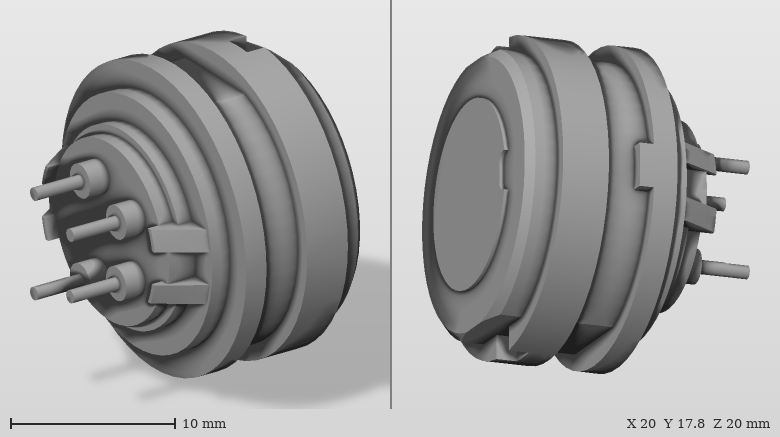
import math
import cadquery as cq


flange_front = 0.0
flange_back = 1.5
key_back = 2.45
nut_front = 4.5
nut_back = 7.5
body_back = 9.42
lip_back = 9.7
shoulder_front = -1.3
step_front = -2.3
insert_front = -3.3
clip_front = -4.1
sleeve_front = -4.7
pin_front = -8.1

flange_radius = 10.0
nut_radius = 10.0
body_radius = 9.0
shoulder_radius = 8.25
step_radius = 6.5
insert_radius = 5.93
sleeve_radius = 1.1
pin_radius = 0.42

body_chamfer = 0.5
flat_height = 8.42

key_width = 2.75

nut_slot_width = 2.0
nut_slot_depth = 1.3

lip_notch_width = 2.5
lip_notch_depth = 0.93
lip_notch_corner_radius = 0.71

clip_root_radius = 8.0
clip_tip_radius = 6.2
clip_inner_z = 1.1
clip_outer_z = 2.47

pin_circle_radius = 3.5
pin_positions = 5
empty_position = 2
pin_pitch = 360 / pin_positions
first_pin_angle = pin_pitch / 2


def disc(radius, y_start, y_end, x=0, z=0):
    """Cylinder along Y from y_start to y_end, centred at (x, z)."""
    base = cq.Workplane("XZ", origin=(x, y_start, z))
    return base.circle(radius).extrude(y_start - y_end)


def block(x_start, x_end, y_start, y_end, z_start, z_end):
    """Box between the given limits."""
    size = (x_end - x_start, y_end - y_start, z_end - z_start)
    return cq.Workplane("XY").box(*size, centered=False).translate((x_start, y_start, z_start))


def make_body():
    """Chamfered threaded barrel with a flat on the top and bottom."""
    barrel = disc(body_radius, flange_front, body_back).faces(">Y").chamfer(body_chamfer)
    between_flats = block(
        -body_radius, body_radius, flange_front, body_back, -flat_height, flat_height
    )
    return barrel.intersect(between_flats)


def make_nut():
    """Nut fitted to the barrel, slotted at the top and bottom of its back face."""
    slot = block(
        -nut_slot_width / 2, nut_slot_width / 2,
        nut_back - nut_slot_depth, nut_back,
        flat_height, nut_radius,
    )
    return disc(nut_radius, nut_front, nut_back).cut(slot).cut(slot.mirror("XY"))


def make_flange():
    """Flange with the anti-rotation key standing behind it."""
    key = block(
        -flange_radius, 0, flange_front, key_back, -key_width / 2, key_width / 2
    ).intersect(disc(flange_radius, flange_front, key_back))
    return disc(flange_radius, flange_front, flange_back).union(key)


def make_front_steps():
    """Stepped front; the wide step runs full height between the clips."""
    bridge = disc(step_radius, flange_front, insert_front).intersect(
        block(-step_radius, step_radius, insert_front, flange_front, -clip_inner_z, clip_inner_z)
    )
    return (
        disc(shoulder_radius, flange_front, shoulder_front)
        .union(disc(step_radius, flange_front, step_front))
        .union(disc(insert_radius, flange_front, insert_front))
        .union(bridge)
    )


def make_lip():
    """Low rear lip with the notch cut into its -X edge."""
    notch = block(
        -insert_radius, lip_notch_depth - insert_radius,
        body_back, lip_back,
        -lip_notch_width / 2, lip_notch_width / 2,
    )
    notch = notch.faces(">X").edges("|Y").fillet(lip_notch_corner_radius)
    return disc(insert_radius, body_back, lip_back).cut(notch)


def make_clips():
    """Four tapered clips cut from one conical ring."""
    ring = (
        cq.Workplane("XY")
        .moveTo(insert_radius, shoulder_front)
        .lineTo(clip_root_radius, shoulder_front)
        .lineTo(clip_tip_radius, clip_front)
        .lineTo(insert_radius, clip_front)
        .close()
        .revolve(360, (0, 0), (0, 1))
    )
    reach = clip_root_radius
    upper = block(-reach, reach, clip_front, shoulder_front, clip_inner_z, clip_outer_z)
    lower = upper.mirror("XY")
    return ring.intersect(upper.union(lower))


def make_pins():
    """Contact pins, each in an insulating sleeve."""
    pins = cq.Workplane("XY")
    for position in range(pin_positions):
        if position == empty_position:
            continue
        angle = math.radians(first_pin_angle + position * pin_pitch)
        x = pin_circle_radius * math.cos(angle)
        z = pin_circle_radius * math.sin(angle)
        pins = pins.add(disc(sleeve_radius, insert_front, sleeve_front, x, z))
        pins = pins.add(disc(pin_radius, insert_front, pin_front, x, z))
    return pins.combine()


result = (
    make_body()
    .union(make_nut())
    .union(make_flange())
    .union(make_front_steps())
    .union(make_lip())
    .union(make_clips())
    .union(make_pins())
)